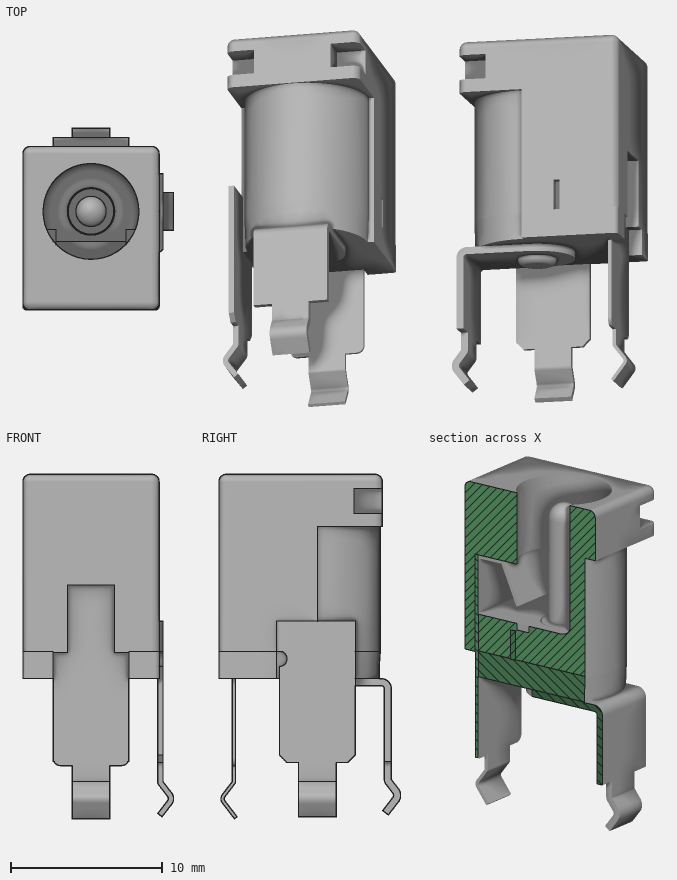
import cadquery as cq
import math

TOP_Z = 22.72
CUT_MARGIN = 1.14

half_width = 4.5
front_y = -6.5
rear_y = 4.3
housing_depth = 11.68
edge_radius = 0.5
collar_depth = 3.45
barrel_radius = 4.15
notch_top_depth = 0.95
notch_bottom_depth = 2.6
notch_length = 1.86
notch_reach = 1.9
lip_height = 0.1

bore_radius = 3.15
floor_depth = 9.09
floor_fillet = 0.5
pad_half_width = 2.3
pad_corner_y = -1.2
pad_corner_drop = 0.45

cap_bottom_depth = 13.47
cap_corner_radius = 0.27
cap_bottom_radius = 4.1

blade_width = 5.0
tail_width = 2.5
shoulder_corner = 0.5
tail_lean = math.radians(37.5)
tail_inner_radius = 0.23

spring_thickness = 0.23
spring_front_y = -5.61
spring_shoulder_depth = 19.22
spring_kink_depth = 20.27
spring_reach = 0.75
spring_tip_depth = TOP_Z
spring_top_depth = 5.0
arm_root_y = -3.3
contact_depth = 7.85
contact_y = -2.0
arm_width = 2 * pad_half_width
window_width = 3.11
window_depth = 7.32

side_thickness = 0.36
side_outer_x = 4.75
side_top_depth = 9.68
side_shoulder_depth = 19.02
side_kink_depth = 20.27
side_reach = 0.7
side_tip_depth = 22.58
strip_front_y = -2.68
strip_end_x = -3.86
strip_bend_radius = 0.3
relief_radius = 0.5
peep_slot_front_y = -2.6
peep_slot_rear_y = -2.15

rear_thickness = 0.48
rear_outer_y = 4.88
rear_bend_radius = 0.68
rear_shoulder_depth = 18.95
rear_kink_depth = 20.13
rear_reach = 0.61
rear_tip_depth = 22.47

pin_radius = 1.0
pin_top_depth = 0.9
pin_base_radius = 1.5
pin_base_clearance = 0.07
rivet_radius = 1.27
rivet_bottom_depth = 14.43
rivet_fillet = 0.4

side_inner_x = side_outer_x - side_thickness
strip_rear_y = strip_front_y + side_thickness
spring_rear_y = spring_front_y + spring_thickness
rear_inner_y = rear_outer_y - rear_thickness
half_blade = blade_width / 2


def block(x_range, y_range, depth_range):
    """Box between two X, two Y and two depth limits."""
    (x0, x1), (y0, y1), (d0, d1) = x_range, y_range, depth_range
    return cq.Workplane("XY").box(x1 - x0, y1 - y0, d1 - d0, centered=False).translate((x0, y0, TOP_Z - d1))


def cylinder(radius, top_depth, bottom_depth):
    """Cylinder on the plug axis between two depths."""
    base = cq.Workplane("XY").workplane(offset=TOP_Z - bottom_depth)
    return base.circle(radius).extrude(bottom_depth - top_depth)


def bent_tail(thickness, start_depth, kink_depth, reach, tip_depth):
    """Snap-in tail, bent out and back.

    It is built with its outer face on the XZ plane, bulging toward -Y, centered on X = 0.
    """
    lean_tan = math.tan(tail_lean)
    bulge_radius = tail_inner_radius + thickness
    corner_reach = reach + bulge_radius * (1 / math.cos(tail_lean) - 1)
    bulge_z = TOP_Z - kink_depth - corner_reach / lean_tan
    tip_z = TOP_Z - tip_depth
    tip_y = -corner_reach + (bulge_z - tip_z) * lean_tan
    inner_kink_z = TOP_Z - kink_depth - thickness * math.tan(tail_lean / 2)
    inner_bulge_y = -corner_reach + thickness / math.cos(tail_lean)
    inner_tip = (tip_y + thickness * math.cos(tail_lean), tip_z + thickness * math.sin(tail_lean))
    tail = (
        cq.Workplane("YZ")
        .polyline(
            [
                (0, TOP_Z - start_depth),
                (0, TOP_Z - kink_depth),
                (-corner_reach, bulge_z),
                (tip_y, tip_z),
                inner_tip,
                (inner_bulge_y, bulge_z),
                (thickness, inner_kink_z),
                (thickness, TOP_Z - start_depth),
            ]
        )
        .close()
        .extrude(tail_width / 2, both=True)
    )
    bends = [
        (-corner_reach, bulge_z, bulge_radius),
        (inner_bulge_y, bulge_z, tail_inner_radius),
        (thickness, inner_kink_z, thickness),
    ]
    for bend_y, bend_z, radius in bends:
        bend_edge = cq.selectors.NearestToPointSelector((0, bend_y, bend_z))
        tail = tail.edges(bend_edge).fillet(radius)
    return tail


def blade(thickness, top_depth, shoulder_depth):
    """Flat blade with its outer face on the XZ plane, centered on X = 0."""
    return block((-half_blade, half_blade), (0, thickness), (top_depth, shoulder_depth))


def make_housing():
    body = block((-half_width, half_width), (front_y, rear_y), (0, housing_depth))
    body = body.edges("|Z").fillet(edge_radius).faces(">Z").edges().fillet(edge_radius)

    below_collar = (collar_depth, housing_depth)
    rear_half = block(
        (-half_width - CUT_MARGIN, half_width + CUT_MARGIN), (0, rear_y + CUT_MARGIN), below_collar
    )
    body = body.cut(rear_half.cut(cylinder(barrel_radius, *below_collar)))

    for side in (-1, 1):
        x_range = sorted((side * (half_width - notch_reach), side * (half_width + CUT_MARGIN)))
        notch = block(
            x_range, (rear_y - notch_length, rear_y + CUT_MARGIN), (notch_top_depth, notch_bottom_depth)
        )
        body = body.cut(notch)

    lip = block(
        (-half_blade, half_blade), (front_y, spring_front_y), (housing_depth, housing_depth + lip_height)
    )
    body = body.union(lip)

    bore = cylinder(bore_radius, -CUT_MARGIN, floor_depth).faces("<Z").edges().fillet(floor_fillet)
    front_of_bore = (-bore_radius, pad_corner_y)
    low_corner_depth = floor_depth + pad_corner_drop
    flat_front = block((-bore_radius, bore_radius), front_of_bore, (0, floor_depth))
    bore = bore.union(flat_front.intersect(cylinder(bore_radius, 0, floor_depth)))
    for side in (-1, 1):
        x_range = sorted((side * pad_half_width, side * bore_radius))
        low_corner = block(x_range, front_of_bore, (0, low_corner_depth))
        bore = bore.union(low_corner.intersect(cylinder(bore_radius, 0, low_corner_depth)))
    body = body.cut(bore)
    body = body.cut(cylinder(pin_base_radius + pin_base_clearance, 0, housing_depth))

    chamber = block((-half_blade, half_blade), (spring_front_y, contact_y), (spring_top_depth, floor_depth))
    blade_slot = block(
        (-half_blade, half_blade), (spring_front_y, spring_rear_y), (floor_depth, housing_depth + lip_height)
    )
    window = block(
        (-window_width / 2, window_width / 2),
        (front_y - CUT_MARGIN, spring_front_y),
        (window_depth, housing_depth + lip_height),
    )
    body = body.cut(chamber).cut(blade_slot).cut(window)

    pocket_depths = (side_top_depth, housing_depth)
    strip_pocket = block((strip_end_x, half_width + CUT_MARGIN), (strip_front_y, strip_rear_y), pocket_depths)
    plate_pocket = block((side_inner_x, half_width + CUT_MARGIN), (strip_front_y, CUT_MARGIN), pocket_depths)
    peep_slot = block(
        (-half_width - CUT_MARGIN, strip_end_x), (peep_slot_front_y, peep_slot_rear_y), pocket_depths
    )
    return body.cut(strip_pocket).cut(plate_pocket).cut(peep_slot)


def make_cap():
    depths = (housing_depth, cap_bottom_depth)
    body = block((-half_width, half_width), (front_y, 0), depths)
    body = body.edges("|Z and <Y").fillet(cap_corner_radius)

    cap_bottom = cq.Vector(0, 0, TOP_Z - cap_bottom_depth)
    cap_height = cap_bottom_depth - housing_depth
    tapered_rear = cq.Workplane(cq.Solid.makeCone(cap_bottom_radius, barrel_radius, cap_height, cap_bottom))
    body = body.union(tapered_rear)

    spring_notch = block((-half_blade, half_blade), (front_y - CUT_MARGIN, spring_rear_y), depths)
    plate_notch = block((side_inner_x, half_width + CUT_MARGIN), (strip_front_y, CUT_MARGIN), depths)
    return body.cut(spring_notch).cut(plate_notch).cut(cylinder(pin_base_radius, *depths))


def make_pin():
    shaft = cylinder(pin_radius, pin_top_depth + pin_radius, floor_depth)
    tip = cq.Workplane("XY").sphere(pin_radius).translate((0, 0, TOP_Z - pin_top_depth - pin_radius))
    base = cylinder(pin_base_radius, floor_depth, cap_bottom_depth)
    rivet = cylinder(rivet_radius, cap_bottom_depth, rivet_bottom_depth)
    rivet = rivet.faces("<Z").edges().fillet(rivet_fillet)
    return base.union(shaft).union(tip).union(rivet)


def make_spring_terminal():
    plate = blade(spring_thickness, spring_top_depth, spring_shoulder_depth)
    plate = plate.faces("<Z").edges("|Y").fillet(shoulder_corner)
    tail = bent_tail(
        spring_thickness,
        spring_shoulder_depth - shoulder_corner,
        spring_kink_depth,
        spring_reach,
        spring_tip_depth,
    )
    lower = plate.union(tail).translate((0, spring_front_y, 0))

    slope = math.atan2(contact_depth - spring_top_depth, contact_y - arm_root_y)
    top_z = TOP_Z - spring_top_depth
    contact_z = TOP_Z - contact_depth
    arm = (
        cq.Workplane("YZ")
        .polyline(
            [
                (spring_front_y, top_z),
                (arm_root_y, top_z),
                (contact_y, contact_z),
                (
                    contact_y - spring_thickness * math.sin(slope),
                    contact_z - spring_thickness * math.cos(slope),
                ),
                (arm_root_y - spring_thickness * math.tan(slope / 2), top_z - spring_thickness),
                (spring_front_y, top_z - spring_thickness),
            ]
        )
        .close()
        .extrude(arm_width / 2, both=True)
    )
    return lower.union(arm)


def make_side_terminal():
    plate = blade(side_thickness, housing_depth, side_shoulder_depth)
    plate = plate.faces("<Z").edges("|Y").chamfer(shoulder_corner)
    tail = bent_tail(
        side_thickness,
        side_shoulder_depth - shoulder_corner,
        side_kink_depth,
        side_reach,
        side_tip_depth,
    )
    lower = plate.union(tail).rotate((0, 0, 0), (0, 0, 1), 90).translate((side_outer_x, 0, 0))

    relief = (
        cq.Workplane("YZ")
        .center(-half_blade, TOP_Z - housing_depth - relief_radius)
        .circle(relief_radius)
        .extrude(side_outer_x + CUT_MARGIN)
    )
    lower = lower.cut(relief)

    depths = (side_top_depth, housing_depth)
    upper = block((side_inner_x, side_outer_x), (strip_front_y, half_blade), depths)
    strip = block((strip_end_x, side_outer_x), (strip_front_y, strip_rear_y), depths)
    bent = upper.union(strip).edges("|Z and >X and <Y").fillet(strip_bend_radius)
    return lower.union(bent)


def make_rear_terminal():
    plate_bottom_depth = cap_bottom_depth + rear_thickness
    depths = (cap_bottom_depth, plate_bottom_depth)

    foot = block((-half_blade, half_blade), (0, rear_outer_y), depths)
    plate = blade(rear_thickness, cap_bottom_depth, rear_shoulder_depth).translate((0, rear_inner_y, 0))
    angle = foot.union(plate).edges("|X and >Y and >Z").fillet(rear_bend_radius)
    inner_corner = cq.selectors.NearestToPointSelector((0, rear_inner_y, TOP_Z - plate_bottom_depth))
    angle = angle.edges(inner_corner).fillet(rear_bend_radius - rear_thickness)
    angle = angle.union(cylinder(half_blade, *depths))

    tail = bent_tail(
        rear_thickness,
        rear_shoulder_depth - shoulder_corner,
        rear_kink_depth,
        rear_reach,
        rear_tip_depth,
    )
    tail = tail.rotate((0, 0, 0), (0, 0, 1), 180).translate((0, rear_outer_y, 0))
    return angle.union(tail).cut(cylinder(rivet_radius, *depths))


housing = make_housing()
cap = make_cap()
pin = make_pin()
spring_terminal = make_spring_terminal()
side_terminal = make_side_terminal()
rear_terminal = make_rear_terminal()

bodies = [housing, cap, pin, spring_terminal, side_terminal, rear_terminal]
result = cq.Compound.makeCompound([body.solids().val() for body in bodies])